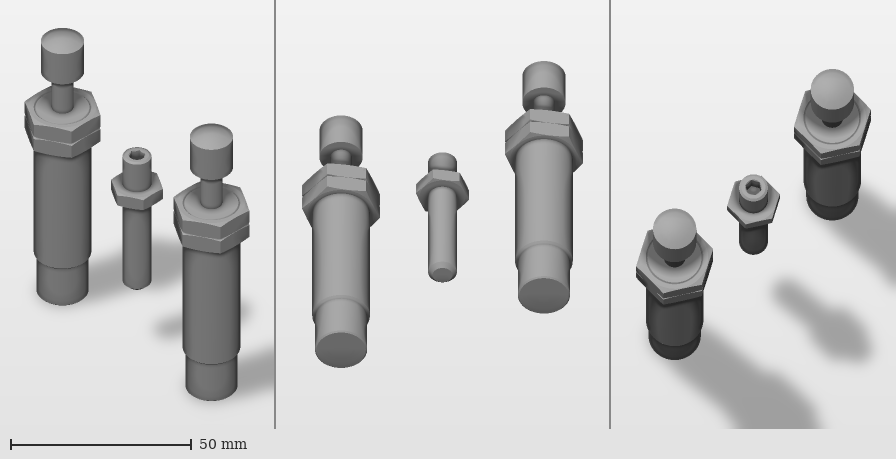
import cadquery as cq
import math

ABSORBER_OFFSET = 30.0
STOP_HEIGHT = 64.0

BODY_DIAMETER = 16.0
THREAD_ROOT_DIAMETER = 14.92
NECK_DIAMETER = (BODY_DIAMETER + THREAD_ROOT_DIAMETER) / 2
TAIL_DIAMETER = 14.5
TAIL_LENGTH = 13.0
TAIL_CHAMFER = 0.4
ROD_DIAMETER = 6.0
CAP_DIAMETER = 12.0
CAP_BOTTOM = 76.5
CAP_EDGE_HEIGHT = 87.0
CAP_TOP = 88.5

SCREW_DIAMETER = 8.0
SCREW_ROOT_DIAMETER = 6.65
SCREW_TIP_DIAMETER = 5.5
SCREW_LENGTH = 45.0
SOCKET_ACROSS_FLATS = 4.0
SOCKET_DEPTH = 5.0

ABSORBER_NUT_ACROSS_FLATS = 19.0
ABSORBER_NUT_HEIGHT = 5.0
ABSORBER_NUT_COUNT = 2
NECK_BOTTOM = STOP_HEIGHT - ABSORBER_NUT_COUNT * ABSORBER_NUT_HEIGHT
SCREW_NUT_ACROSS_FLATS = 13.0
SCREW_NUT_HEIGHT = 4.0
SCREW_NUT_DROP = 10.0
SCREW_NUT_TOP = STOP_HEIGHT - SCREW_NUT_DROP
NUT_FACE_RATIO = 0.98

SCREW_TOP_ANGLE = 30.0
BODY_THREAD_ANGLE = 45.0
NUT_CORNER_ANGLE = 15.0
SOCKET_MOUTH_ANGLE = 45.0


def across_corners(across_flats):
    return across_flats / math.cos(math.radians(30))


def cone_height(large_diameter, small_diameter, angle):
    """Height of a cone between two diameters, its slope given in degrees from the end plane."""
    return (large_diameter - small_diameter) / 2 * math.tan(math.radians(angle))


def make_countersink(large_diameter, small_diameter, angle, top):
    """Cutting cone with its large end at the given height, narrowing downward."""
    depth = cone_height(large_diameter, small_diameter, angle)
    return (
        cq.Workplane("XZ")
        .moveTo(0, top - depth)
        .lineTo(small_diameter / 2, top - depth)
        .lineTo(large_diameter / 2, top)
        .lineTo(0, top)
        .close()
        .revolve(360, (0, 0, 0), (0, 1, 0))
    )


def make_absorber():
    body_radius = BODY_DIAMETER / 2
    root_radius = THREAD_ROOT_DIAMETER / 2
    neck_radius = NECK_DIAMETER / 2
    tail_radius = TAIL_DIAMETER / 2
    rod_radius = ROD_DIAMETER / 2
    cap_radius = CAP_DIAMETER / 2
    shoulder_height = body_radius - tail_radius
    neck_chamfer = cone_height(NECK_DIAMETER, THREAD_ROOT_DIAMETER, BODY_THREAD_ANGLE)
    dome_rise = CAP_TOP - CAP_EDGE_HEIGHT
    dome_radius = (cap_radius**2 + dome_rise**2) / (2 * dome_rise)
    half_angle = math.asin(cap_radius / dome_radius) / 2
    dome_middle = (
        dome_radius * math.sin(half_angle),
        CAP_TOP - dome_radius * (1 - math.cos(half_angle)),
    )
    return (
        cq.Workplane("XZ")
        .moveTo(0, 0)
        .lineTo(tail_radius - TAIL_CHAMFER, 0)
        .lineTo(tail_radius, TAIL_CHAMFER)
        .lineTo(tail_radius, TAIL_LENGTH)
        .lineTo(body_radius, TAIL_LENGTH + shoulder_height)
        .lineTo(body_radius, NECK_BOTTOM)
        .lineTo(neck_radius, NECK_BOTTOM)
        .lineTo(neck_radius, STOP_HEIGHT - neck_chamfer)
        .lineTo(root_radius, STOP_HEIGHT)
        .lineTo(rod_radius, STOP_HEIGHT)
        .lineTo(rod_radius, CAP_BOTTOM)
        .lineTo(cap_radius, CAP_BOTTOM)
        .lineTo(cap_radius, CAP_EDGE_HEIGHT)
        .threePointArc(dome_middle, (0, CAP_TOP))
        .close()
        .revolve(360, (0, 0, 0), (0, 1, 0))
    )


def make_set_screw():
    radius = SCREW_DIAMETER / 2
    root_radius = SCREW_ROOT_DIAMETER / 2
    tip_radius = SCREW_TIP_DIAMETER / 2
    bottom = STOP_HEIGHT - SCREW_LENGTH
    top_chamfer = cone_height(SCREW_DIAMETER, SCREW_ROOT_DIAMETER, SCREW_TOP_ANGLE)
    tip_chamfer = radius - tip_radius
    shank = (
        cq.Workplane("XZ")
        .moveTo(0, bottom)
        .lineTo(tip_radius, bottom)
        .lineTo(radius, bottom + tip_chamfer)
        .lineTo(radius, STOP_HEIGHT - top_chamfer)
        .lineTo(root_radius, STOP_HEIGHT)
        .lineTo(0, STOP_HEIGHT)
        .close()
        .revolve(360, (0, 0, 0), (0, 1, 0))
    )
    socket = (
        cq.Workplane("XY", origin=(0, 0, STOP_HEIGHT - SOCKET_DEPTH))
        .polygon(6, across_corners(SOCKET_ACROSS_FLATS))
        .extrude(SOCKET_DEPTH)
    )
    mouth = make_countersink(
        across_corners(SOCKET_ACROSS_FLATS), SOCKET_ACROSS_FLATS, SOCKET_MOUTH_ANGLE, STOP_HEIGHT
    )
    return shank.cut(socket).cut(mouth)


def make_nut(across_flats, height, bore_diameter):
    """Hexagon nut standing on Z = 0, corners on +Y and -Y, both ends chamfered."""
    corner_diameter = across_corners(across_flats)
    corner_radius = corner_diameter / 2
    face_diameter = across_flats * NUT_FACE_RATIO
    face_radius = face_diameter / 2
    corner_drop = cone_height(corner_diameter, face_diameter, NUT_CORNER_ANGLE)
    hexagon = (
        cq.Workplane("XY")
        .transformed(rotate=(0, 0, 90))
        .polygon(6, corner_diameter)
        .extrude(height)
    )
    envelope = (
        cq.Workplane("XZ")
        .moveTo(0, 0)
        .lineTo(face_radius, 0)
        .lineTo(corner_radius, corner_drop)
        .lineTo(corner_radius, height - corner_drop)
        .lineTo(face_radius, height)
        .lineTo(0, height)
        .close()
        .revolve(360, (0, 0, 0), (0, 1, 0))
    )
    bore = cq.Workplane("XY").circle(bore_diameter / 2).extrude(height)
    return hexagon.intersect(envelope).cut(bore)


absorber = make_absorber()
bore_countersink = make_countersink(
    BODY_DIAMETER, NECK_DIAMETER, BODY_THREAD_ANGLE, ABSORBER_NUT_HEIGHT
)
absorber_nut = make_nut(
    ABSORBER_NUT_ACROSS_FLATS, ABSORBER_NUT_HEIGHT, NECK_DIAMETER
).cut(bore_countersink)
set_screw = make_set_screw()
screw_nut = make_nut(SCREW_NUT_ACROSS_FLATS, SCREW_NUT_HEIGHT, SCREW_DIAMETER).translate(
    (0, 0, SCREW_NUT_TOP - SCREW_NUT_HEIGHT)
)

bodies = [set_screw.val(), screw_nut.val()]
for axis_x in (-ABSORBER_OFFSET, ABSORBER_OFFSET):
    bodies.append(absorber.translate((axis_x, 0, 0)).val())
    for nut_index in range(ABSORBER_NUT_COUNT):
        nut_bottom = STOP_HEIGHT - (nut_index + 1) * ABSORBER_NUT_HEIGHT
        bodies.append(absorber_nut.translate((axis_x, 0, nut_bottom)).val())

result = cq.Compound.makeCompound(bodies)